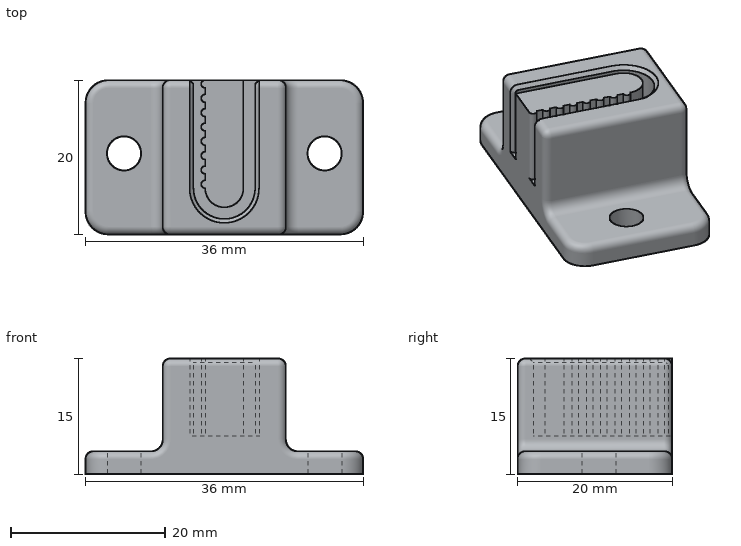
import cadquery as cq

length = 36.0
depth = 20.0
height = 15.0
flange_thickness = 3.0
flange_corner_radius = 3.0
block_width = 16.0
root_radius = 1.5
edge_radius = 1.0

hole_diameter = 4.4
hole_spacing = 26.0
hole_y = 0.5

groove_depth = 10.0
groove_outer_radius = 4.0
groove_end_y = -4.0
groove_chamfer = 0.5
island_radius = 2.5

tooth_count = 8
tooth_radius = 0.5

back_y = depth / 2
floor_z = height - groove_depth
first_tooth_y = back_y - tooth_radius
last_tooth_y = groove_end_y + tooth_radius
tooth_pitch = (first_tooth_y - last_tooth_y) / (tooth_count - 1)


def make_body():
    """Flanged block with filleted roots and rounded outer edges."""
    flange = (
        cq.Workplane("XY")
        .box(length, depth, flange_thickness, centered=(True, True, False))
        .edges("|Z")
        .fillet(flange_corner_radius)
    )
    block = cq.Workplane("XY").box(block_width, depth, height, centered=(True, True, False))
    root_x = block_width / 2
    left_root = cq.NearestToPointSelector((-root_x, 0, flange_thickness))
    right_root = cq.NearestToPointSelector((root_x, 0, flange_thickness))
    body = flange.union(block)
    body = body.edges(left_root + right_root).fillet(root_radius)

    left_end = cq.NearestToPointSelector((-length / 2, 0, flange_thickness))
    right_end = cq.NearestToPointSelector((length / 2, 0, flange_thickness))
    block_top = cq.selectors.BoxSelector(
        (-length, -depth, height - edge_radius), (length, depth, height + edge_radius)
    )
    return body.edges(left_end + right_end + block_top).fillet(edge_radius)


def make_u_prism(radius, prism_height):
    """Prism open to the back face with a round front end, standing on the groove floor."""
    return (
        cq.Workplane("XY", origin=(0, 0, floor_z))
        .moveTo(-radius, back_y)
        .lineTo(-radius, groove_end_y)
        .threePointArc((0, groove_end_y - radius), (radius, groove_end_y))
        .lineTo(radius, back_y)
        .close()
        .extrude(prism_height)
    )


def make_toothed_island():
    """Central tongue with round teeth along its -X side."""
    tooth_places = [
        (-island_radius, first_tooth_y - index * tooth_pitch) for index in range(tooth_count)
    ]
    teeth = (
        cq.Workplane("XY", origin=(0, 0, floor_z))
        .pushPoints(tooth_places)
        .circle(tooth_radius)
        .extrude(groove_depth)
    )
    return make_u_prism(island_radius, groove_depth).union(teeth)


def cut_groove(body):
    """Cut the U-shaped pocket and chamfer its rim."""
    pocketed = body.cut(make_u_prism(groove_outer_radius, groove_depth))
    rim = cq.NearestToPointSelector((0, groove_end_y, height))
    return pocketed.edges(rim).chamfer(groove_chamfer)


def make_mounting_holes():
    """Cylinders for the two screw holes through the flanges."""
    return (
        cq.Workplane("XY")
        .pushPoints([(-hole_spacing / 2, hole_y), (hole_spacing / 2, hole_y)])
        .circle(hole_diameter / 2)
        .extrude(flange_thickness)
    )


result = cut_groove(make_body()).union(make_toothed_island()).cut(make_mounting_holes())